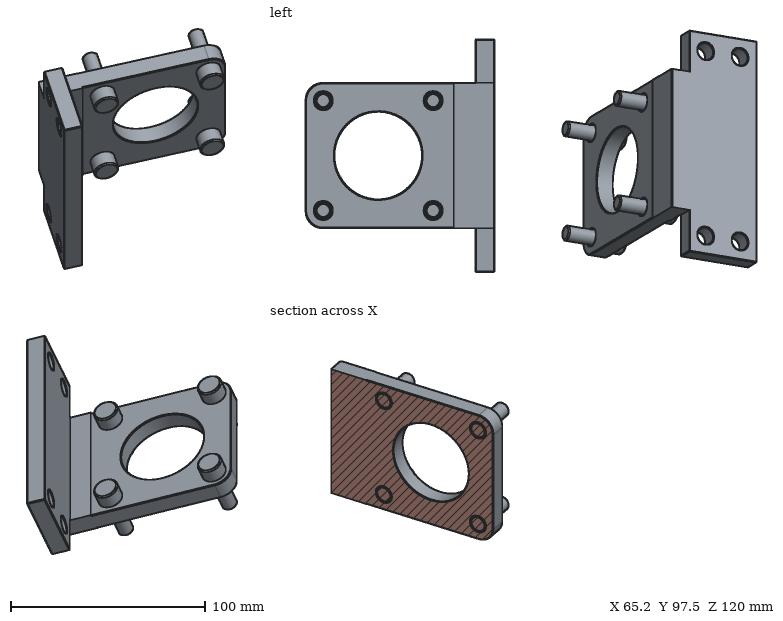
import cadquery as cq
import math

total_x = 65.2
total_y = 97.5
total_z = 120.0
edge_chamfer = 0.5

plate_height = 75.0
plate_thickness = 9.8
corner_radius = 9.0
bore_diameter = 45.0
face_offset = 0.2
root_thickness = 10.0
root_length = 21.0

screw_length = 25.0
screw_diameter = 8.0
screw_tip_chamfer = 0.7
head_diameter = 13.0
head_height = 8.0
head_chamfer = 0.7
bolt_circle_diameter = 80.0
clearance_diameter = 9.0

flange_width = 39.5
flange_thickness = 10.0
bridge_overlap = 1.2
mount_spacing_x = 20.0
mount_edge_distance = 10.0

plate_y_max = plate_height / 2
foot_y = plate_y_max - total_y
root_y = foot_y + root_length
plate_x = screw_length - plate_thickness
root_x = plate_x + face_offset
flange_x = total_x - flange_width
screw_offset = bolt_circle_diameter / 2 / math.sqrt(2)
screw_sides = (-screw_offset, screw_offset)
screw_centers = [(y, z) for y in screw_sides for z in screw_sides]


def box(x_range, y_range, z_size):
    """Box spanning the given X and Y ranges, centred on Z = 0."""
    (x0, x1), (y0, y1) = x_range, y_range
    return (
        cq.Workplane("XY")
        .box(x1 - x0, y1 - y0, z_size, centered=(False, False, True))
        .translate((x0, y0, 0))
    )


def make_bore_plate():
    plate = box((plate_x, plate_x + plate_thickness), (root_y, plate_y_max), plate_height)
    plate = plate.edges("|X and >Y").fillet(corner_radius)
    face = cq.Workplane("YZ", origin=(plate_x, 0, 0))
    bore = face.circle(bore_diameter / 2).extrude(plate_thickness)
    clearance_holes = face.pushPoints(screw_centers).circle(clearance_diameter / 2).extrude(plate_thickness)
    plate = plate.cut(bore).cut(clearance_holes)
    return plate.faces("<X or >X").edges("not <Y").chamfer(edge_chamfer)


def make_root():
    root = box((root_x, root_x + root_thickness), (foot_y, root_y), plate_height)
    return root.edges("<X and <Y").chamfer(edge_chamfer)


def make_flange():
    y_range = (foot_y, foot_y + flange_thickness)
    flange = box((flange_x, total_x), y_range, total_z).edges("|Y").chamfer(edge_chamfer)
    outer_x = total_x - mount_edge_distance
    inner_x = outer_x - mount_spacing_x
    hole_z = total_z / 2 - mount_edge_distance
    centers = [(x, z) for x in (inner_x, outer_x) for z in (-hole_z, hole_z)]
    inner_face = cq.Workplane("XZ", origin=(0, y_range[1], 0))
    holes = inner_face.pushPoints(centers).circle(clearance_diameter / 2).extrude(flange_thickness)
    flange = flange.cut(holes).faces("<Y or >Y").edges().chamfer(edge_chamfer)
    bridge = box((root_x + root_thickness / 2, flange_x + bridge_overlap), y_range, plate_height)
    return flange.union(bridge)


def make_screws():
    tip_plane = cq.Workplane("YZ")
    seat_plane = cq.Workplane("YZ", origin=(screw_length, 0, 0))
    shanks = tip_plane.pushPoints(screw_centers).circle(screw_diameter / 2).extrude(screw_length)
    shanks = shanks.faces("<X").chamfer(screw_tip_chamfer)
    heads = seat_plane.pushPoints(screw_centers).circle(head_diameter / 2).extrude(head_height)
    heads = heads.faces(">X").chamfer(head_chamfer)
    return shanks.union(heads)


result = make_bore_plate().union(make_root()).union(make_flange()).union(make_screws())